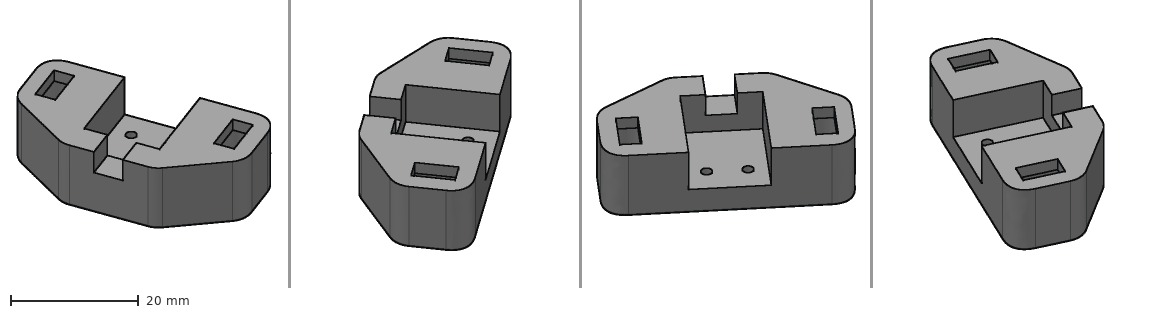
import cadquery as cq

length = 40.0
depth = 20.0
height = 11.8
front_width = 16.0
side_length = 12.0
corner_radius = 4.0
rear_corner_fullness = 0.63
bottom_fillet = 0.5

pocket_width = 13.0
pocket_length = 15.0
pocket_depth = 7.2
notch_width = 5.0
notch_depth = 4.0

slot_width = 3.5
slot_length = 7.0
slot_left_wall = 2.7
slot_right_wall = 2.95
slot_rear_wall = 3.0

hole_diameter = 1.8
hole_spacing = 6.5
hole_rear_distance = 4.5
hole_depth = 3.0

recess_width = 6.0
recess_length = 9.6
recess_roof = 2.1

rear_y = depth / 2
front_y = -depth / 2
side_front_y = rear_y - side_length
pocket_floor = height - pocket_depth
recess_height = height - recess_roof


def make_body():
    """Tapered block with rounded vertical corners and a rounded lower rim."""
    side_x = length / 2
    corner_y = rear_y - corner_radius
    flat_end_x = side_x - corner_radius
    handle = corner_radius * rear_corner_fullness
    block = (
        cq.Workplane("XY")
        .moveTo(-flat_end_x, rear_y)
        .lineTo(flat_end_x, rear_y)
        .bezier(
            [
                (flat_end_x, rear_y),
                (flat_end_x + handle, rear_y),
                (side_x, corner_y + handle),
                (side_x, corner_y),
            ]
        )
        .lineTo(side_x, side_front_y)
        .lineTo(front_width / 2, front_y)
        .lineTo(-front_width / 2, front_y)
        .lineTo(-side_x, side_front_y)
        .lineTo(-side_x, corner_y)
        .bezier(
            [
                (-side_x, corner_y),
                (-side_x, corner_y + handle),
                (-flat_end_x - handle, rear_y),
                (-flat_end_x, rear_y),
            ]
        )
        .close()
        .extrude(height)
    )
    front_half = cq.selectors.BoxSelector((-length, -depth, -height), (length, 0, 2 * height))
    rounded = block.edges("|Z").edges(front_half).fillet(corner_radius)
    return rounded.faces("<Z").edges().fillet(bottom_fillet)


def make_box(width, box_length, box_height, x, box_rear_y, bottom_z):
    """Box centred on x, with its rear face and its underside at given places."""
    box = cq.Workplane("XY").box(width, box_length, box_height, centered=(True, False, False))
    return box.translate((x, box_rear_y - box_length, bottom_z))


def make_pin(diameter, pin_height, x, y, bottom_z):
    """Upright cylinder standing at (x, y, bottom_z)."""
    return cq.Workplane("XY", origin=(x, y, bottom_z)).circle(diameter / 2).extrude(pin_height)


pocket = make_box(pocket_width, pocket_length, pocket_depth, 0, rear_y, pocket_floor)
notch = make_box(notch_width, depth, notch_depth, 0, rear_y, height - notch_depth)
result = make_body().cut(pocket).cut(notch)

left_slot_x = -length / 2 + slot_left_wall + slot_width / 2
right_slot_x = length / 2 - slot_right_wall - slot_width / 2
slot_rear_y = rear_y - slot_rear_wall
for slot_x in (left_slot_x, right_slot_x):
    slot = make_box(slot_width, slot_length, height, slot_x, slot_rear_y, 0)
    recess = (
        cq.Workplane("XY")
        .center(slot_x, slot_rear_y - slot_length / 2)
        .slot2D(recess_length, recess_width, 90)
        .extrude(recess_height)
    )
    result = result.cut(slot).cut(recess)

for side in (-1, 1):
    hole_x = side * hole_spacing / 2
    hole_y = rear_y - hole_rear_distance
    result = result.cut(make_pin(hole_diameter, hole_depth, hole_x, hole_y, pocket_floor - hole_depth))